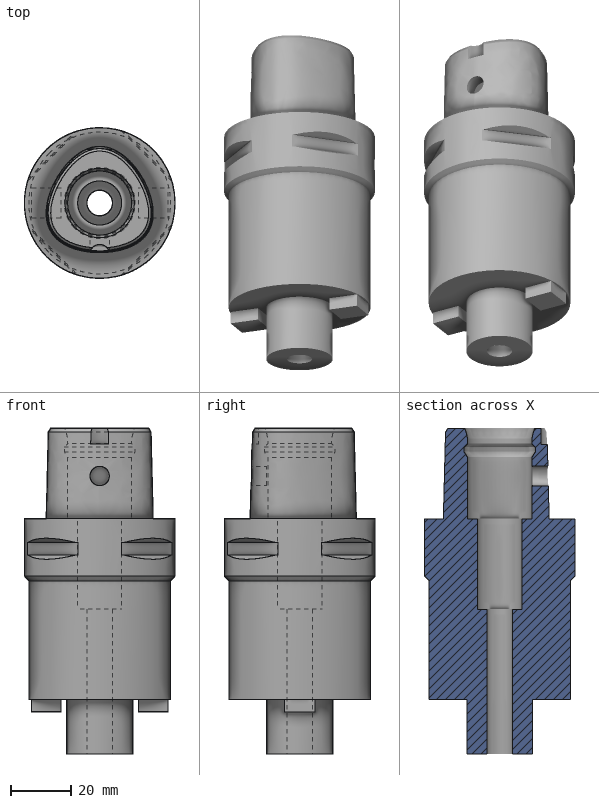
import cadquery as cq
import math

shank_length = 30.0
flange_chamfer_top = 49.1
body_bottom = 90.0
pilot_length = 18.0
part_length = body_bottom + pilot_length

shank_radius = 17.62
shank_lobe = 1.15
shank_slope = 1 / 40
rim_chamfer_height = 1.4
rim_chamfer_width = 0.85
outline_points = 72

flange_radius = 25.0
body_radius = 23.5
flange_chamfer = flange_radius - body_radius
pilot_radius = 11.0

mouth_radius = 11.5
bore_radius = 10.6
mouth_depth = 3.5
groove_radius = 11.75
groove_top = 5.2
groove_wall_top = 6.35
groove_wall_bottom = 7.9
groove_bottom = 9.7
bore_depth = 30.0
screw_head_radius = 7.3
screw_head_depth = 60.0
screw_hole_radius = 4.2

notch_radius = 3.2
notch_axis_y = -16.9
notch_depth = 5.3
side_hole_radius = 3.2
side_hole_depth = 15.9
side_hole_floor_y = -11.0

slot_count = 4
slot_first_angle = 45.0
slot_floor_distance = 22.0
slot_flare_distance = 22.45
slot_floor_height = 4.2
slot_mouth_height = 7.0
slot_depth_below_rim = 40.0

key_inner = 12.8
key_outer = 22.65
key_width = 10.0
key_height = 4.0


def lobed_section(z, radius):
    """Three-lobed wire at height z with one lobe pointing to +Y."""

    def point(turn):
        angle = 2 * math.pi * turn
        return (
            radius * math.sin(angle) - shank_lobe * math.sin(2 * angle),
            radius * math.cos(angle) + shank_lobe * math.cos(2 * angle),
            z,
        )

    points = [cq.Vector(*point(i / outline_points)) for i in range(outline_points)]
    return cq.Wire.assembleEdges([cq.Edge.makeSpline(points, periodic=True)])


def make_shank():
    """Tapered shank with a chamfered rim."""
    edge_radius = shank_radius - shank_slope * (shank_length - rim_chamfer_height)
    base = lobed_section(-shank_length, shank_radius)
    edge = lobed_section(-rim_chamfer_height, edge_radius)
    rim = lobed_section(0, edge_radius - rim_chamfer_width)
    taper = cq.Solid.makeLoft([base, edge], True)
    chamfer = cq.Solid.makeLoft([edge, rim], True)
    return cq.Workplane(obj=taper).union(cq.Workplane(obj=chamfer))


def revolve_profile(points):
    """Solid of revolution about Z from (radius, z) points."""
    return cq.Workplane("XZ").polyline(points).close().revolve(360, (0, 0, 0), (0, 1, 0))


def make_body():
    """Flange, cylindrical body and pilot."""
    return revolve_profile([
        (0, -shank_length),
        (flange_radius, -shank_length),
        (flange_radius, -flange_chamfer_top),
        (body_radius, -flange_chamfer_top - flange_chamfer),
        (body_radius, -body_bottom),
        (pilot_radius, -body_bottom),
        (pilot_radius, -part_length),
        (0, -part_length),
    ])


def make_bore():
    """Conical mouth, grooved bore, screw head recess and through hole."""
    return revolve_profile([
        (0, 0),
        (mouth_radius, 0),
        (bore_radius, -mouth_depth),
        (bore_radius, -groove_top),
        (groove_radius, -groove_wall_top),
        (groove_radius, -groove_wall_bottom),
        (bore_radius, -groove_bottom),
        (bore_radius, -bore_depth),
        (screw_head_radius, -bore_depth),
        (screw_head_radius, -screw_head_depth),
        (screw_hole_radius, -screw_head_depth),
        (screw_hole_radius, -part_length),
        (0, -part_length),
    ])


def make_notch():
    """Round-backed notch in the rim of the shank."""
    return (
        cq.Workplane("XY")
        .center(0, notch_axis_y)
        .circle(notch_radius)
        .extrude(-notch_depth)
    )


def make_side_hole():
    """Blind radial hole entering the shank from -Y."""
    return (
        cq.Workplane("XZ", origin=(0, side_hole_floor_y, -side_hole_depth))
        .circle(side_hole_radius)
        .extrude(flange_radius + side_hole_floor_y)
    )


def make_slot(angle):
    """Flat-floored slot with square then flared walls, cut across the flange at an angle."""
    return (
        cq.Workplane("XZ", origin=(0, -flange_radius, 0))
        .moveTo(slot_floor_distance, -slot_depth_below_rim - slot_floor_height / 2)
        .lineTo(slot_flare_distance, -slot_depth_below_rim - slot_floor_height / 2)
        .lineTo(flange_radius, -slot_depth_below_rim - slot_mouth_height / 2)
        .lineTo(flange_radius, -slot_depth_below_rim + slot_mouth_height / 2)
        .lineTo(slot_flare_distance, -slot_depth_below_rim + slot_floor_height / 2)
        .lineTo(slot_floor_distance, -slot_depth_below_rim + slot_floor_height / 2)
        .close()
        .extrude(-2 * flange_radius)
        .rotate((0, 0, 0), (0, 0, 1), angle)
    )


def make_key(side):
    """Drive key under the body on the +X (side = 1) or -X (side = -1) side."""
    return cq.Workplane("XY").box(
        key_outer - key_inner, key_width, key_height
    ).translate((side * (key_inner + key_outer) / 2, 0, -body_bottom - key_height / 2))


result = make_body().union(make_shank())
for side in (-1, 1):
    result = result.union(make_key(side))
result = result.cut(make_bore()).cut(make_notch()).cut(make_side_hole())
for slot in range(slot_count):
    result = result.cut(make_slot(slot_first_angle + slot * 360 / slot_count))